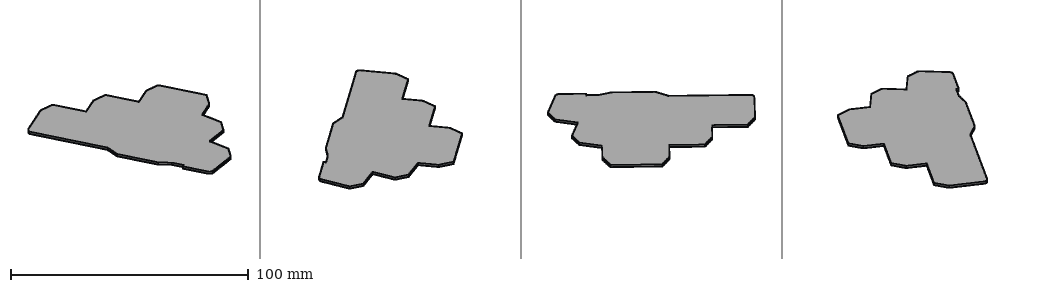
import cadquery as cq
import math

length = 87.15
depth = 54.7
thickness = 1.2

left_tiers = 3
tilted_tiers = 2
tier_run = 18.3
tier_rise = 14.55
clip_run = 3.3
clip_rise = clip_run * math.tan(math.radians(60))

tilt = math.radians(15)
tilted_run = 14.0
tilted_clip = 4.3

left_base = 3.1
belly_left = 41.6
belly_right = 60.0
belly_slope_left = math.radians(30)
recess_left = 65.45
recess_right = 70.7
recess_top = 1.8
right_base = 0.8
left_corner_radius = 1.7
right_corner_radius = 1.9

outer_run = tilted_tiers * tilted_run
outer_drop = (tilted_tiers - 1) * tier_rise + tilted_clip
tower_right = length - outer_run * math.cos(tilt) + outer_drop * math.sin(tilt)
tower_foot = depth - tier_rise


def clipped_tier(left, top):
    """Points of a left tier: foot of its clip, then the start of its top edge."""
    return [(left, top - clip_rise), (left + clip_run, top)]


def tilted_point(run, drop):
    """Point in the tilted frame that starts at the foot of the tower."""
    x = tower_right + run * math.cos(tilt) - drop * math.sin(tilt)
    y = tower_foot - run * math.sin(tilt) - drop * math.cos(tilt)
    return (x, y)


def left_staircase():
    points = []
    for tier in range(left_tiers):
        left = tier * tier_run
        top = depth - (left_tiers - 1 - tier) * tier_rise
        points += clipped_tier(left, top)
        if tier < left_tiers - 1:
            points.append((left + tier_run, top))
    return points


def right_staircase():
    points = [
        (tower_right - clip_run, depth),
        (tower_right, depth - clip_rise),
    ]
    for tier in range(tilted_tiers):
        run = tier * tilted_run
        drop = tier * tier_rise
        points += [
            tilted_point(run, drop),
            tilted_point(run + tilted_run - tilted_clip, drop),
            tilted_point(run + tilted_run, drop + tilted_clip),
        ]
    return points


def lower_edge():
    outer_x, outer_y = tilted_point(outer_run, outer_drop)
    right_corner = outer_x - (outer_y - right_base) * math.tan(tilt)
    belly_start = belly_left - left_base / math.tan(belly_slope_left)
    return [
        (right_corner, right_base),
        (recess_right, right_base),
        (recess_right, recess_top),
        (recess_left, recess_top),
        (belly_right, 0),
        (belly_left, 0),
        (belly_start, left_base),
        (0, left_base),
    ]


bottom_points = lower_edge()
outline = left_staircase() + right_staircase() + bottom_points
plate = cq.Workplane("XY").polyline(outline).close().extrude(thickness)


def round_corner(body, corner, radius):
    """Round the vertical edge that stands on the given outline corner."""
    edge = cq.selectors.NearestToPointSelector((*corner, thickness / 2))
    return body.edges("|Z").edges(edge).fillet(radius)


plate = round_corner(plate, bottom_points[0], right_corner_radius)
result = round_corner(plate, bottom_points[-1], left_corner_radius)